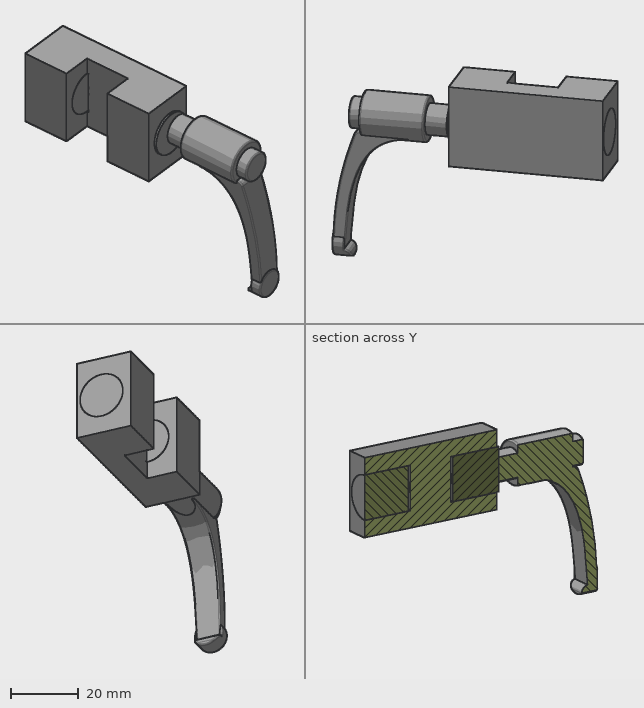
import cadquery as cq


block_length = 47.0
block_depth = 17.6
block_height = 25.0
block_back = 5.05
jaw_length = 15.7
slot_width = block_length - 2 * jaw_length

plug_diameter = 14.0
plug_axis_y = -3.0
plug_stand_out = 0.75
bore_overrun = 0.5
slot_floor = plug_axis_y

screw_diameter = 5.0
screw_tip = jaw_length / 2
collar_diameter = 9.5
collar_start = block_length + plug_stand_out
hub_start = 54.25
hub_end = 73.9
hub_diameter = 14.0
hub_rounding = 0.5
cap_end = 77.65

arm_root_width = 8.8
arm_root_z = -12.4
arm_end_width = 7.8
arm_rounding = 0.4
arm_root = (59.55, -5.8)
arm_top_z = -4.05
arm_shoulder = (75.9, -5.2)
arm_shoulder_crest = (75.25, -4.5)
arm_back_middle = (80.5, -20.7)
arm_back_inset = 0.2

tip_radius = 4.55
tip_axis_z = -40.4
tip_outer_x = 82.7
tip_inner_x = 79.1
lip_x = 76.9
lip_top_z = -41.7
arm_end_z = lip_top_z
lip_edge_z = -43.8
lip_curve_middle = (77.65, -42.4)
tip_rounding = 0.4


def rod(diameter, x_start, x_end, axis_y=0.0):
    """Cylinder along X between two positions."""
    base = cq.Plane(origin=(x_start, axis_y, 0), xDir=(0, 0, 1), normal=(1, 0, 0))
    return cq.Workplane(base).circle(diameter / 2).extrude(x_end - x_start)


def make_block():
    """Block with a slot between two jaws, bored for the plugs and the screw."""
    block_front = block_back - block_depth
    corner_based = (False, False, True)
    block = cq.Workplane("XY", origin=(0, block_front, 0)).box(
        block_length, block_depth, block_height, centered=corner_based
    )
    slot = cq.Workplane("XY", origin=(jaw_length, block_front, 0)).box(
        slot_width, slot_floor - block_front, block_height, centered=corner_based
    )
    block = block.cut(slot)

    bore_depth = jaw_length + bore_overrun
    for bore_start in (0, block_length - bore_depth):
        block = block.cut(rod(plug_diameter, bore_start, bore_start + bore_depth, plug_axis_y))
    return block.cut(rod(screw_diameter, 0, block_length))


def make_plug(x_start, x_end):
    """Round plug with an off-centre hole for the screw, blind in the left jaw."""
    plug = rod(plug_diameter, x_start, x_end, plug_axis_y)
    return plug.cut(rod(screw_diameter, screw_tip, collar_start))


def make_arm():
    """Curved arm that grows out of the hub and narrows towards its tip."""
    inner_curve = [
        (65.25, -6.8),
        (68.6, -8.6),
        (72.1, -12.1),
        (75.4, -18.4),
        (77.65, -27.3),
        (tip_inner_x, arm_end_z),
    ]
    arm = (
        cq.Workplane("XZ", origin=(0, hub_diameter / 2, 0))
        .moveTo(*arm_root)
        .spline(inner_curve, includeCurrent=True)
        .lineTo(tip_outer_x - arm_back_inset, arm_end_z)
        .threePointArc(arm_back_middle, arm_shoulder)
        .threePointArc(arm_shoulder_crest, (hub_end, arm_top_z))
        .lineTo(arm_root[0], arm_top_z)
        .close()
        .extrude(hub_diameter)
    )

    end_half_width = arm_end_width / 2
    root_half_width = arm_root_width / 2
    slope = (root_half_width - end_half_width) / (arm_root_z - arm_end_z)
    axis_half_width = root_half_width - slope * arm_root_z
    taper_corners = [
        (-axis_half_width, 0),
        (axis_half_width, 0),
        (end_half_width, arm_end_z),
        (-end_half_width, arm_end_z),
    ]
    taper = cq.Workplane("YZ").polyline(taper_corners).close().extrude(tip_outer_x)
    arm = arm.intersect(taper)
    return arm.faces("<Y or >Y").edges("not #Z").fillet(arm_rounding)


def make_tip():
    """Round end of the arm, cut back above the hooked lip."""
    tip = rod(2 * tip_radius, lip_x, tip_outer_x).translate((0, 0, tip_axis_z))
    above_lip = (
        cq.Workplane("XZ")
        .moveTo(tip_inner_x, 0)
        .lineTo(tip_inner_x, lip_top_z)
        .threePointArc(lip_curve_middle, (lip_x, lip_edge_z))
        .lineTo(lip_x, 0)
        .close()
        .extrude(tip_radius, both=True)
    )
    tip = tip.cut(above_lip)

    inner_side = cq.selectors.BoxSelector(
        (lip_x - tip_rounding, -2 * tip_radius, tip_axis_z - 2 * tip_radius),
        (tip_inner_x + tip_rounding, 2 * tip_radius, tip_axis_z + 2 * tip_radius),
    )
    lip_lines = cq.selectors.ParallelDirSelector(cq.Vector(0, 1, 0))
    tip = tip.edges(inner_side - lip_lines).fillet(tip_rounding)
    return tip.faces(">X").edges().fillet(tip_rounding)


def make_lever():
    """Clamping lever in one piece with its screw."""
    hub = rod(hub_diameter, hub_start, hub_end).faces("<X or >X").edges().fillet(hub_rounding)
    cap = rod(collar_diameter, hub_end, cap_end).faces(">X").edges().fillet(hub_rounding)
    lever = rod(screw_diameter, screw_tip, collar_start)
    lever = lever.union(rod(collar_diameter, collar_start, hub_start))
    return lever.union(hub).union(cap).union(make_arm()).union(make_tip())


block = make_block()
plug_spans = [(0, jaw_length), (block_length - jaw_length, collar_start)]
plugs = [make_plug(x_start, x_end).val() for x_start, x_end in plug_spans]
lever = make_lever()

result = cq.Compound.makeCompound([block.val(), *plugs, lever.val()])